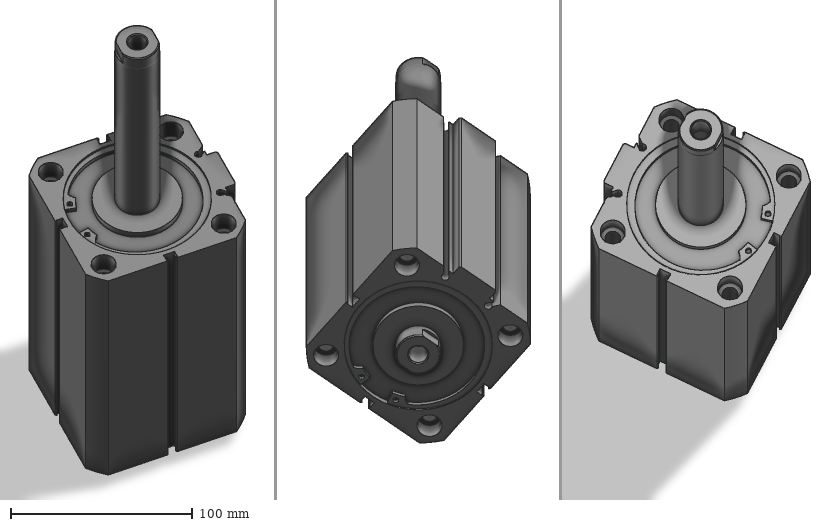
import cadquery as cq
import math

BARREL_WIDTH = 96.5
BARREL_HEIGHT = 167.2
CORNER_FLAT_HALF = 38.7
BORE_RADIUS = 41.0

RAIL_HALF_WIDTH = 12.8
RAIL_HEIGHT = 5.5
RAIL_EDGE_CHAMFER = 1.0
RAIL_LIP_HALF_WIDTH = 15.5
RAIL_LIP_DROP = 0.5
RAIL_LIP_HEIGHT = 0.5
GROOVE_MOUTH_HALF = 20.0
GROOVE_OUTER_HALF = 17.0
GROOVE_INNER_HALF = 13.0
GROOVE_ARC_DROP = 3.7
GROOVE_DEPTH = 7.0

SLOT_MOUTH_WIDTH = 4.7
SLOT_MOUTH_CHAMFER = 0.5
SLOT_WIDTH = 6.5
SLOT_LIP = 1.0
SLOT_DEPTH = 4.7

MOUNT_OFFSET = 36.2
MOUNT_HOLE_DIAMETER = 8.7
MOUNT_BORE_DIAMETER = 13.7
MOUNT_BORE_DEPTH = 12.5

ROD_RADIUS = 12.5
ROD_TOP_REACH = 134.5
ROD_BOTTOM_REACH = 10.3
NECK_STEP = 0.25
NECK_LENGTH = 8.0
SHOULDER_LENGTH = 1.0
TIP_CHAMFER = 0.5
FLAT_HALF_DISTANCE = 11.0
FLAT_LENGTH = 7.2
ROD_HOLE_RADIUS = 5.3
ROD_HOLE_DEPTH = 18.7
ROD_HOLE_CHAMFER = 0.5
DRILL_TIP_ANGLE = 118

COVER_RECESS = 4.0
COVER_THICKNESS = 18.7
COVER_HUB_RADIUS = 25.0
RING_THICKNESS = 2.8
RING_INNER_RADIUS = 37.5
RING_OFFSET = 1.2
RING_ROOT_ANGLE = 30.6
LUG_INNER_RADIUS = 34.0
LUG_TOE_ANGLE = 13.3
LUG_HEEL_ANGLE = 25.6
LUG_BLEND_RADIUS = 36.5
LUG_BLEND_ANGLE = 27.1
LUG_HOLE_RADIUS = 37.5
LUG_HOLE_ANGLE = 18.7
LUG_HOLE_DIAMETER = 3.0

HALF_WIDTH = BARREL_WIDTH / 2
NECK_RADIUS = ROD_RADIUS - NECK_STEP
ROD_LENGTH = ROD_BOTTOM_REACH + BARREL_HEIGHT + ROD_TOP_REACH


def flip_to_bottom(body):
    """Mirror a body from the top end of the barrel to its bottom end."""
    return body.mirror("XY", (0, 0, BARREL_HEIGHT / 2))


def polar(radius, angle):
    """Point at an angle from -Y, positive toward +X."""
    turn = math.radians(angle)
    return (radius * math.sin(turn), -radius * math.cos(turn))


def make_rail():
    """Rail with its lips, reaching down to the bottom of the flank grooves."""
    lip_top = HALF_WIDTH - RAIL_LIP_DROP
    foot = HALF_WIDTH - GROOVE_ARC_DROP
    right_side = [
        (RAIL_HALF_WIDTH, HALF_WIDTH + RAIL_HEIGHT),
        (RAIL_HALF_WIDTH, lip_top),
        (RAIL_LIP_HALF_WIDTH, lip_top),
        (RAIL_LIP_HALF_WIDTH, lip_top - RAIL_LIP_HEIGHT),
        (GROOVE_INNER_HALF, foot),
    ]
    left_side = [(-x, y) for x, y in reversed(right_side)]
    rail = cq.Workplane("XY").polyline(right_side + left_side).close().extrude(BARREL_HEIGHT)
    return rail.edges("|Z and >Y").chamfer(RAIL_EDGE_CHAMFER)


def make_rail_trench():
    """Cut in the +Y side that holds the rail and ends in two round groove bottoms."""
    foot = HALF_WIDTH - GROOVE_ARC_DROP
    groove_bottom = HALF_WIDTH - GROOVE_DEPTH
    groove_middle = (GROOVE_OUTER_HALF + GROOVE_INNER_HALF) / 2
    return (
        cq.Workplane("XY")
        .moveTo(GROOVE_MOUTH_HALF, HALF_WIDTH)
        .lineTo(GROOVE_OUTER_HALF, foot)
        .threePointArc((groove_middle, groove_bottom), (GROOVE_INNER_HALF, foot))
        .lineTo(-GROOVE_INNER_HALF, foot)
        .threePointArc((-groove_middle, groove_bottom), (-GROOVE_OUTER_HALF, foot))
        .lineTo(-GROOVE_MOUTH_HALF, HALF_WIDTH)
        .close()
        .extrude(BARREL_HEIGHT)
    )


def make_t_slot():
    """T-slot with a chamfered mouth along the middle of the -Y side."""
    mouth = SLOT_MOUTH_WIDTH / 2
    head = SLOT_WIDTH / 2
    right_side = [
        (mouth + SLOT_MOUTH_CHAMFER, 0),
        (mouth, SLOT_MOUTH_CHAMFER),
        (mouth, SLOT_LIP),
        (head, SLOT_LIP),
        (head, SLOT_DEPTH),
    ]
    left_side = [(-x, y) for x, y in reversed(right_side)]
    slot = cq.Workplane("XY").polyline(right_side + left_side).close().extrude(BARREL_HEIGHT)
    return slot.translate((0, -HALF_WIDTH, 0))


def make_mounting_holes():
    corners = [(x, y) for x in (-MOUNT_OFFSET, MOUNT_OFFSET) for y in (-MOUNT_OFFSET, MOUNT_OFFSET)]
    holes = cq.Workplane("XY").pushPoints(corners).circle(MOUNT_HOLE_DIAMETER / 2).extrude(BARREL_HEIGHT)
    counterbores = (
        cq.Workplane("XY", origin=(0, 0, BARREL_HEIGHT))
        .pushPoints(corners)
        .circle(MOUNT_BORE_DIAMETER / 2)
        .extrude(-MOUNT_BORE_DEPTH)
    )
    return holes.union(counterbores).union(flip_to_bottom(counterbores))


def make_barrel():
    corner_radius = math.hypot(HALF_WIDTH, CORNER_FLAT_HALF)
    block = cq.Workplane("XY").rect(BARREL_WIDTH, BARREL_WIDTH).extrude(BARREL_HEIGHT)
    round_bar = cq.Workplane("XY").circle(corner_radius).extrude(BARREL_HEIGHT)
    barrel = block.intersect(round_bar).cut(make_rail_trench()).union(make_rail())
    for angle in (-90, 0, 90):
        barrel = barrel.cut(make_t_slot().rotate((0, 0, 0), (0, 0, 1), angle))
    bore = cq.Workplane("XY").circle(BORE_RADIUS).extrude(BARREL_HEIGHT)
    return barrel.cut(bore).cut(make_mounting_holes())


def make_rod_hole():
    """Drilled and countersunk hole going down from Z = 0."""
    tip_length = ROD_HOLE_RADIUS / math.tan(math.radians(DRILL_TIP_ANGLE / 2))
    profile = [
        (0, 0),
        (-ROD_HOLE_RADIUS - ROD_HOLE_CHAMFER, 0),
        (-ROD_HOLE_RADIUS, -ROD_HOLE_CHAMFER),
        (-ROD_HOLE_RADIUS, -ROD_HOLE_DEPTH),
        (0, -ROD_HOLE_DEPTH - tip_length),
    ]
    return cq.Workplane("YZ").polyline(profile).close().revolve(360, (0, 0), (0, 1))


def make_rod_end_cut():
    """Two wrench flats and the end hole, for a rod end at Z = 0."""
    cut = make_rod_hole()
    for side in (-1, 1):
        flat = cq.Workplane("XY").box(2 * ROD_RADIUS, ROD_RADIUS, FLAT_LENGTH, centered=(True, True, False))
        cut = cut.union(flat.translate((0, side * (FLAT_HALF_DISTANCE + ROD_RADIUS / 2), -FLAT_LENGTH)))
    return cut


def make_rod():
    shoulder_end = NECK_LENGTH + SHOULDER_LENGTH
    lower_side = [
        (0, 0),
        (-NECK_RADIUS + TIP_CHAMFER, 0),
        (-NECK_RADIUS, TIP_CHAMFER),
        (-NECK_RADIUS, NECK_LENGTH),
        (-ROD_RADIUS, shoulder_end),
    ]
    upper_side = [(y, ROD_LENGTH - z) for y, z in reversed(lower_side)]
    rod = cq.Workplane("YZ").polyline(lower_side + upper_side).close().revolve(360, (0, 0), (0, 1))
    end_cut = make_rod_end_cut()
    rod = rod.cut(end_cut.translate((0, 0, ROD_LENGTH))).cut(end_cut.mirror("XY"))
    return rod.translate((0, 0, -ROD_BOTTOM_REACH))


def make_cover():
    """Top end cover: a disc filling the bore, with a hub level with the barrel end."""
    disc_top = BARREL_HEIGHT - COVER_RECESS
    disc = cq.Workplane("XY", origin=(0, 0, disc_top)).circle(BORE_RADIUS).extrude(-COVER_THICKNESS)
    hub = cq.Workplane("XY", origin=(0, 0, disc_top)).circle(COVER_HUB_RADIUS).extrude(COVER_RECESS)
    rod_hole = cq.Workplane("XY").circle(ROD_RADIUS).extrude(BARREL_HEIGHT)
    return disc.union(hub).cut(rod_hole)


def make_ring():
    """Top retaining ring lying on the cover: tapered, open at -Y, with a drilled lug at each end."""
    root_x, root_y = polar(RING_INNER_RADIUS, RING_ROOT_ANGLE)
    root_y -= RING_OFFSET
    blend_x, blend_y = polar(LUG_BLEND_RADIUS, LUG_BLEND_ANGLE)
    heel_x, heel_y = polar(LUG_INNER_RADIUS, LUG_HEEL_ANGLE)
    middle_x, middle_y = polar(LUG_INNER_RADIUS, (LUG_TOE_ANGLE + LUG_HEEL_ANGLE) / 2)
    toe_x, toe_y = polar(LUG_INNER_RADIUS, LUG_TOE_ANGLE)
    gap_x, gap_y = polar(BORE_RADIUS, LUG_TOE_ANGLE)
    ring = (
        cq.Workplane("XY")
        .moveTo(gap_x, gap_y)
        .threePointArc((0, BORE_RADIUS), (-gap_x, gap_y))
        .lineTo(-toe_x, toe_y)
        .threePointArc((-middle_x, middle_y), (-heel_x, heel_y))
        .threePointArc((-blend_x, blend_y), (-root_x, root_y))
        .threePointArc((0, RING_INNER_RADIUS - RING_OFFSET), (root_x, root_y))
        .threePointArc((blend_x, blend_y), (heel_x, heel_y))
        .threePointArc((middle_x, middle_y), (toe_x, toe_y))
        .close()
        .extrude(RING_THICKNESS)
    )
    hole_centers = [polar(LUG_HOLE_RADIUS, side * LUG_HOLE_ANGLE) for side in (-1, 1)]
    holes = cq.Workplane("XY").pushPoints(hole_centers).circle(LUG_HOLE_DIAMETER / 2).extrude(RING_THICKNESS)
    return ring.cut(holes).translate((0, 0, BARREL_HEIGHT - COVER_RECESS))


barrel = make_barrel()
rod = make_rod()
top_cover = make_cover()
top_ring = make_ring()
bodies = [barrel, rod, top_cover, flip_to_bottom(top_cover), top_ring, flip_to_bottom(top_ring)]
result = cq.Compound.makeCompound([body.val() for body in bodies])